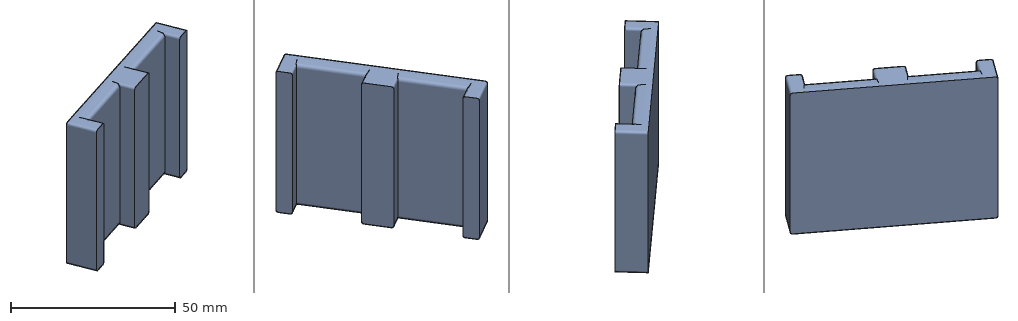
import cadquery as cq
import math

depth = 10.2
width = 64.0
height = 50.8
edge_radius = 0.8

plate_thickness = 5.2
land_depth = 1.7
slope_angle = 3.0
plate_edge_radius = 1.15

end_rib_width = 5.25
middle_rib_width = 10.2


def rounded_bar(bar_width, center_y):
    """Full-depth bar with its four edges along X rounded."""
    bar = cq.Workplane("XY").box(depth, bar_width, height).edges("|X").fillet(edge_radius)
    return bar.translate((depth / 2, center_y, 0))


def make_plate():
    """Plate with sloped top and bottom and rounded edges on its +X face."""
    slope_drop = (plate_thickness - land_depth) * math.tan(math.radians(slope_angle))
    back_half_height = height / 2 - slope_drop
    profile = [
        (0, -height / 2),
        (land_depth, -height / 2),
        (plate_thickness, -back_half_height),
        (plate_thickness, back_half_height),
        (land_depth, height / 2),
        (0, height / 2),
    ]
    plate = cq.Workplane("XZ").polyline(profile).close().extrude(width / 2, both=True)
    return plate.faces(">X").edges("|Y").fillet(plate_edge_radius)


result = make_plate().intersect(rounded_bar(width, 0))
end_rib_y = (width - end_rib_width) / 2
for rib_width, rib_y in [
    (end_rib_width, -end_rib_y),
    (middle_rib_width, 0),
    (end_rib_width, end_rib_y),
]:
    result = result.union(rounded_bar(rib_width, rib_y))